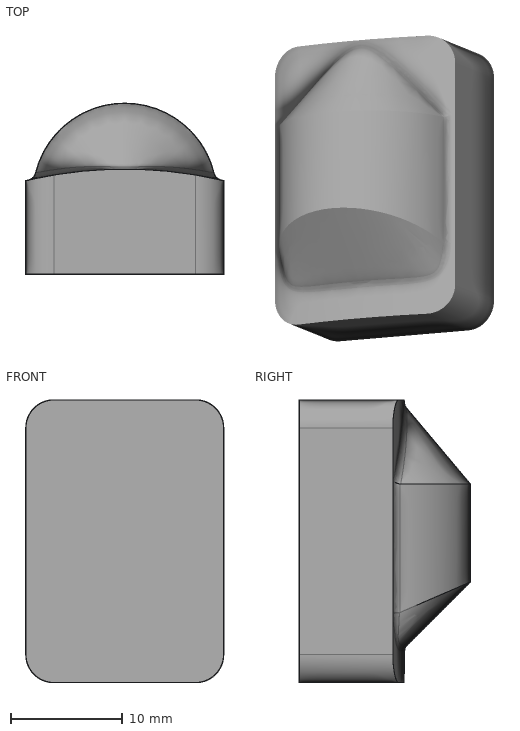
import cadquery as cq
import math

width = 17.78
height = 25.4
side_depth = 8.4
crown_depth = 9.45
corner_radius = 2.55

total_depth = 15.37
dome_radius = 8.25
dome_axis_y = total_depth - dome_radius
dome_top_z = 5.13
dome_bottom_z = -3.65
root_y = 5.08
root_fillet = 0.75

upper_taper = 40.0
upper_length = height / 2 - dome_top_z
upper_end_radius = dome_radius - upper_length * math.tan(math.radians(upper_taper))

lower_tilt = 23.4
lower_drop = 3.8
lower_end_half_width = 8.0
lower_slope = math.tan(math.radians(lower_tilt))
lower_end_half_depth = dome_radius - lower_drop / (1 - lower_slope)


def make_block():
    half_width = width / 2
    profile = (
        cq.Workplane("XY")
        .moveTo(-half_width, 0)
        .lineTo(half_width, 0)
        .lineTo(half_width, side_depth)
        .threePointArc((0, crown_depth), (-half_width, side_depth))
        .close()
    )
    block = profile.extrude(height / 2, both=True)
    return block.edges("|Y").fillet(corner_radius)


def make_cylinder():
    """Dome cylinder with a level upper end and a sloping lower end."""
    root_bottom_z = dome_bottom_z - lower_slope * (total_depth - root_y)
    side_outline = (
        cq.Workplane("YZ")
        .polyline([
            (root_y, dome_top_z),
            (total_depth, dome_top_z),
            (total_depth, dome_bottom_z),
            (root_y, root_bottom_z),
        ])
        .close()
        .extrude(width / 2, both=True)
    )
    cylinder = (
        cq.Workplane("XY")
        .center(0, dome_axis_y)
        .circle(dome_radius)
        .extrude(height / 2, both=True)
    )
    return cylinder.intersect(side_outline)


def make_upper_cone():
    return cq.Workplane(cq.Solid.makeCone(
        dome_radius, upper_end_radius, upper_length,
        cq.Vector(0, dome_axis_y, dome_top_z), cq.Vector(0, 0, 1),
    ))


def sloping_ellipse(half_width, half_depth, center_z):
    """Ellipse on the sloping plane; half_depth is its extent along Y."""
    tilt = math.radians(lower_tilt)
    plane = cq.Plane(
        origin=(0, dome_axis_y, center_z),
        xDir=(1, 0, 0),
        normal=(0, -math.sin(tilt), math.cos(tilt)),
    )
    return cq.Workplane(plane).ellipse(half_width, half_depth / math.cos(tilt)).val()


def make_lower_nose():
    start_z = dome_bottom_z - lower_slope * dome_radius
    start = sloping_ellipse(dome_radius, dome_radius, start_z)
    end = sloping_ellipse(lower_end_half_width, lower_end_half_depth, start_z - lower_drop)
    return cq.Workplane(cq.Solid.makeLoft([start, end], True))


def make_dome():
    dome = make_cylinder().union(make_upper_cone()).union(make_lower_nose())
    keep = cq.Workplane("XY").box(width, total_depth - root_y, height, centered=(True, False, True))
    return dome.intersect(keep.translate((0, root_y, 0)))


def is_root_edge(edge):
    """True where the dome meets the crowned back, inside the block's outline."""
    box = edge.BoundingBox()
    margin = 0.25
    return (
        box.ymin > root_y
        and box.ymax < crown_depth + margin
        and max(abs(box.xmin), abs(box.xmax)) < width / 2 - margin
        and max(abs(box.zmin), abs(box.zmax)) < height / 2 - margin
    )


body = make_block().union(make_dome())
root_edges = [edge for edge in body.edges().vals() if is_root_edge(edge)]
result = body.newObject(root_edges).fillet(root_fillet)